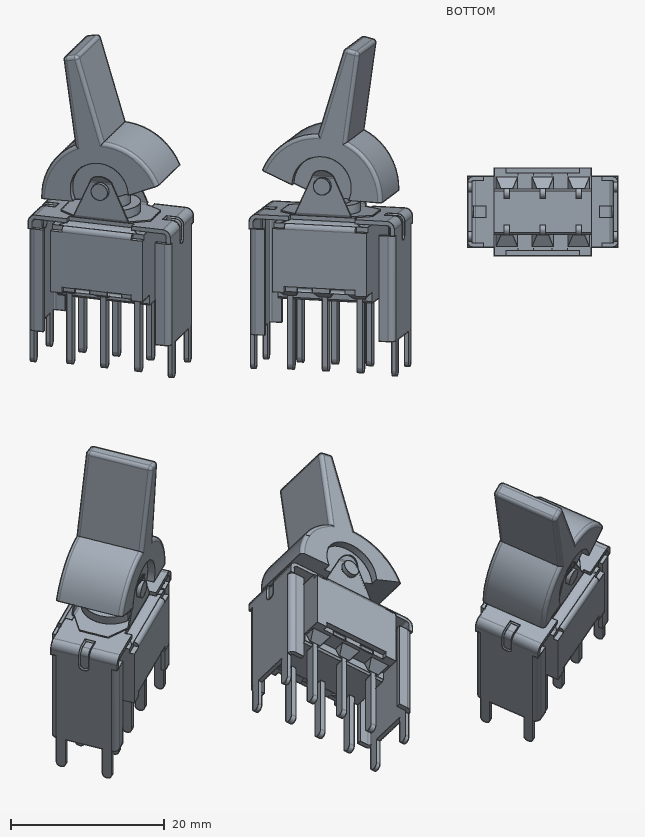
import cadquery as cq
import math

body_half_x = 6.3
body_half_y = 5.7
body_top = 19.85
body_bottom = 10.8
shoulder_half_y = 5.0
shoulder_z = 19.2
panel_half_x = 4.75
panel_bottom = 11.6
groove_x = 2.2
groove_z = 11.1
groove_length = 2.05
groove_radius = 0.3

base_half_y = 2.95
base_bottom = 9.4
base_chamfer = 0.25
pin_pitch = 4.67
pin_row_y = 2.4
pin_size_x = 0.75
pin_size_y = 1.3
wedge_height = 0.9
wedge_top_size = (2.75, 9.0)
wedge_bottom_size = (1.55, 6.05)

bracket_half_x = 9.8
bracket_half_y = 4.65
bracket_top = 20.73
sheet = 0.55
bend_radius = 1.05
leg_bottom = 4.75
flange_top = 18.8
flange_inner_x = 7.7
flange_radius = 0.82
prong_outer_y = 3.85
prong_width = 1.3
bridge_half_x = 4.45
bridge_half_y = 3.68
bridge_base_half_x = 5.45
rib_width = 1.45
rib_end_radius = 0.7
rib_chamfer = 0.195
rib_depth = 0.2
rib_bottom = 17.45
rib_inner_x = 7.4

plate_half_x = 6.2
plate_end_half_y = 2.0
ear_half_x = 3.7
ear_outer_y = 4.0
ear_thickness = 0.17
ear_base_radius = 0.35
ear_tip_radius = 1.6
ear_tip_centre_z = 25.4
ear_bend_z = 26.05
ear_bend_radius = 0.5
ear_flare_y = 4.6

collar_diameter = 7.8
collar_flats = 6.45
collar_top = 22.1
neck_diameter = 5.2

pivot_z = 24.9
pivot_diameter = 2.25
pivot_half_length = 4.6
rocker_tilt = 12.4
rocker_half_y = 4.65
rocker_radius = 8.4
rocker_centre_drop = 1.55
rocker_vee_drop = 1.55
paddle_tip = 18.7
paddle_tip_half = 1.05
paddle_root_half = 2.0
rocker_fillet = 0.5
recess_radius = 4.0
recess_floor_y = 3.65


def block(x0, x1, y0, y1, z0, z1):
    """Box between two opposite corners."""
    return cq.Workplane("XY").box(x1 - x0, y1 - y0, z1 - z0, centered=False).translate((x0, y0, z0))


def centred_block(half_x, half_y, z0, z1):
    """Box centred on the Z axis."""
    return block(-half_x, half_x, -half_y, half_y, z0, z1)


def extrude_along_x(profile, half_length):
    """Extrude a YZ outline equally to both sides of its plane."""
    return profile.extrude(half_length, both=True)


def round_ended_blade(x, size_x, y, size_y, top):
    """Flat blade standing on Z = 0 with a fully rounded lower end."""
    radius = size_y / 2
    return (
        cq.Workplane("YZ", origin=(x, 0, 0))
        .moveTo(y - radius, top)
        .lineTo(y - radius, radius)
        .threePointArc((y, 0), (y + radius, radius))
        .lineTo(y + radius, top)
        .close()
        .extrude(size_x / 2, both=True)
    )


def make_housing():
    """Stepped block with a rolled panel on each long side and two round grooves under each panel."""
    housing = centred_block(body_half_x, body_half_y, body_bottom, shoulder_z)
    housing = housing.cut(centred_block(panel_half_x, body_half_y, body_bottom, shoulder_z))
    housing = housing.union(centred_block(body_half_x, shoulder_half_y, body_bottom, body_top))
    roll = body_top - shoulder_z
    panels = centred_block(panel_half_x, body_half_y, panel_bottom, body_top)
    housing = housing.union(panels.edges("|X and >Z").fillet(roll))
    for x in (-groove_x, groove_x):
        for y in (-shoulder_half_y, shoulder_half_y):
            groove = cq.Workplane("YZ", origin=(x, y, groove_z)).circle(groove_radius)
            housing = housing.cut(extrude_along_x(groove, groove_length / 2))
    return housing


def make_bridge():
    """Block under the bracket top with sloping ends and rounded long sides meeting the panels."""
    bridge_top = bracket_top - sheet
    run = shoulder_half_y - bridge_half_y
    drop = bridge_top - body_top
    side_radius = (run**2 + drop**2) / (2 * drop)
    section = (
        cq.Workplane("YZ")
        .moveTo(-shoulder_half_y, body_top)
        .radiusArc((-bridge_half_y, bridge_top), side_radius)
        .lineTo(bridge_half_y, bridge_top)
        .radiusArc((shoulder_half_y, body_top), side_radius)
        .close()
    )
    ends = (
        cq.Workplane("XZ")
        .polyline([
            (-bridge_base_half_x, body_top),
            (bridge_base_half_x, body_top),
            (bridge_half_x, bridge_top),
            (-bridge_half_x, bridge_top),
        ])
        .close()
        .extrude(shoulder_half_y, both=True)
    )
    return extrude_along_x(section, bridge_base_half_x).intersect(ends)


def make_terminals():
    """Terminal base with a tapered wedge over each pair of round-ended pins."""
    terminals = centred_block(body_half_x, base_half_y, base_bottom, body_bottom)
    terminals = terminals.edges("|X and <Z").chamfer(base_chamfer)
    for x in (-pin_pitch, 0, pin_pitch):
        wedge = (
            cq.Workplane("XY", origin=(x, 0, body_bottom))
            .rect(*wedge_top_size)
            .workplane(offset=-wedge_height)
            .rect(*wedge_bottom_size)
            .loft()
        )
        terminals = terminals.union(wedge)
        for y in (-pin_row_y, pin_row_y):
            terminals = terminals.union(round_ended_blade(x, pin_size_x, y, pin_size_y, body_bottom))
    return terminals


def bent_block(inset, half_y, bottom):
    """Solid block whose two top edges follow the bracket bend, inset from its outer skin."""
    shape = centred_block(bracket_half_x - inset, half_y, bottom, bracket_top - inset)
    return shape.edges("|Y and >Z").fillet(bend_radius - inset)


def bent_strip(outer_inset, inner_inset, half_y, bottom):
    """Strip of sheet running up one leg, over the top and down the other leg."""
    return bent_block(outer_inset, half_y, bottom).cut(bent_block(inner_inset, half_y, bottom))


def make_rib_strip(outer_inset, inner_inset):
    """Round-ended strips that wrap around both bends of the bracket."""
    strip = bent_strip(outer_inset, inner_inset, rib_width / 2, rib_bottom)
    strip = strip.cut(centred_block(rib_inner_x, rib_width, 0, bracket_top))
    return strip.edges("|X and <Z").fillet(rib_end_radius)


def make_rib_groove():
    """Outer side of the ribs: strips of sheet depth with their floor edges bevelled."""
    strip = make_rib_strip(0, rib_depth)

    def is_floor_edge(edge):
        return all(
            abs(point.X) < bracket_half_x - rib_chamfer and point.Z < bracket_top - rib_chamfer
            for point in edge.Vertices()
        )

    floor_edges = [edge for edge in strip.edges().vals() if is_floor_edge(edge)]
    return strip.newObject(floor_edges).chamfer(rib_chamfer)


def make_leg():
    """Right-hand leg: channel with inward flanges and two prongs."""
    leg = block(flange_inner_x, bracket_half_x, -bracket_half_y, bracket_half_y, leg_bottom, flange_top)
    leg = leg.edges("|Z and >X").fillet(flange_radius)
    hollow = block(
        flange_inner_x, bracket_half_x - sheet,
        sheet - bracket_half_y, bracket_half_y - sheet,
        leg_bottom, flange_top,
    )
    leg = leg.cut(hollow.edges("|Z and >X").fillet(flange_radius - sheet))
    prong_y = prong_outer_y - prong_width / 2
    for y in (-prong_y, prong_y):
        leg = leg.union(round_ended_blade(bracket_half_x - sheet / 2, sheet, y, prong_width, flange_top))
    return leg


def make_bracket():
    """Bent strap with two channel legs, a notched top and a stiffening rib in each bend."""
    bracket = bent_strip(0, sheet, bracket_half_y, flange_top)
    for side in (-1, 1):
        edge_y = side * (bridge_half_y + bracket_half_y) / 2
        notch = cq.Workplane("XY").box(2 * bridge_half_x, bracket_half_y - bridge_half_y, 2 * sheet)
        bracket = bracket.cut(notch.translate((0, edge_y, bracket_top - sheet)))
    leg = make_leg()
    bracket = bracket.union(leg).union(leg.mirror("YZ"))
    bracket = bracket.union(make_rib_strip(sheet, sheet + rib_depth))
    return bracket.cut(make_rib_groove())


def make_ear():
    """Front ear: a tapered sheet tab with a round tip flared outwards."""
    ear_base_z = bracket_top + ear_base_radius
    centre_rise = ear_tip_centre_z - ear_base_z
    side_lean = (
        math.atan2(ear_half_x, centre_rise)
        - math.asin(ear_tip_radius / math.hypot(ear_half_x, centre_rise))
    )
    tangent_x = ear_tip_radius * math.cos(side_lean)
    tangent_z = ear_tip_centre_z + ear_tip_radius * math.sin(side_lean)
    tip_z = ear_tip_centre_z + ear_tip_radius
    outline = (
        cq.Workplane("XZ")
        .moveTo(-ear_half_x, bracket_top)
        .lineTo(ear_half_x, bracket_top)
        .lineTo(ear_half_x, ear_base_z)
        .lineTo(tangent_x, tangent_z)
        .threePointArc((0, tip_z), (-tangent_x, tangent_z))
        .lineTo(-ear_half_x, ear_base_z)
        .close()
        .extrude(2 * ear_outer_y)
    )
    inner_y = ear_outer_y - ear_thickness
    foot_y = ear_outer_y - ear_base_radius
    section = (
        cq.Workplane("YZ")
        .moveTo(-foot_y, bracket_top)
        .radiusArc((-ear_outer_y, ear_base_z), ear_base_radius)
        .lineTo(-ear_outer_y, ear_bend_z)
        .lineTo(-ear_flare_y, tip_z)
        .lineTo(ear_thickness - ear_flare_y, tip_z)
        .lineTo(-inner_y, ear_bend_z)
        .lineTo(-inner_y, ear_base_z)
        .radiusArc((-foot_y, bracket_top + ear_thickness), ear_thickness - ear_base_radius)
        .close()
    )
    sheet_strip = extrude_along_x(section, ear_half_x)
    bend_zone = cq.selectors.BoxSelector(
        (-ear_half_x, -ear_flare_y, ear_bend_z - ear_thickness),
        (ear_half_x, 0, ear_bend_z + ear_thickness),
    )
    sheet_strip = sheet_strip.edges("|X").edges(bend_zone).fillet(ear_bend_radius)
    return outline.intersect(sheet_strip)


def make_ear_plate():
    """Thin plate with tapered ends that carries the two ears and the pivot pin."""
    corner = [(plate_half_x, plate_end_half_y), (ear_half_x, ear_outer_y - ear_base_radius)]
    right = [(x, -y) for x, y in reversed(corner)] + corner
    left = [(-x, -y) for x, y in right]
    plate = (
        cq.Workplane("XY", origin=(0, 0, bracket_top))
        .polyline(right + left)
        .close()
        .extrude(ear_thickness)
    )
    ear = make_ear()
    pin = (
        cq.Workplane("XZ", origin=(0, 0, pivot_z))
        .circle(pivot_diameter / 2)
        .extrude(pivot_half_length, both=True)
    )
    return plate.union(ear).union(ear.mirror("XZ")).union(pin)


def make_bushing():
    """Collar with two flats and a round neck that reaches into the rocker."""
    collar = cq.Workplane("XY", origin=(0, 0, bracket_top)).circle(collar_diameter / 2)
    collar = collar.extrude(collar_top - bracket_top)
    collar = collar.intersect(centred_block(collar_diameter, collar_flats / 2, 0, pivot_z))
    neck = cq.Workplane("XY", origin=(0, 0, bracket_top)).circle(neck_diameter / 2)
    return collar.union(neck.extrude(pivot_z - bracket_top))


def make_rocker():
    """Round-backed rocker with a tapered paddle, drawn upright about its pivot and then tilted."""
    end_x = math.sqrt(rocker_radius**2 - rocker_centre_drop**2)
    root_z = math.sqrt(rocker_radius**2 - paddle_root_half**2) - rocker_centre_drop
    mid_angle = (math.atan2(rocker_centre_drop, end_x) + math.acos(paddle_root_half / rocker_radius)) / 2
    mid_x = rocker_radius * math.cos(mid_angle)
    mid_z = rocker_radius * math.sin(mid_angle) - rocker_centre_drop
    rocker = (
        cq.Workplane("XZ")
        .moveTo(0, -rocker_vee_drop)
        .lineTo(end_x, 0)
        .threePointArc((mid_x, mid_z), (paddle_root_half, root_z))
        .lineTo(paddle_tip_half, paddle_tip)
        .lineTo(-paddle_tip_half, paddle_tip)
        .lineTo(-paddle_root_half, root_z)
        .threePointArc((-mid_x, mid_z), (-end_x, 0))
        .close()
        .extrude(rocker_half_y, both=True)
    )
    tip_edges = rocker.edges("|Y and >Z")
    above_pivot = cq.selectors.BoxSelector(
        (-rocker_radius, -2 * rocker_half_y, 0),
        (rocker_radius, 2 * rocker_half_y, 2 * paddle_tip),
    )
    side_edges = rocker.faces("|Y").edges(above_pivot)
    rocker = rocker.newObject(tip_edges.vals() + side_edges.vals()).fillet(rocker_fillet)
    for side in (-1, 1):
        recess = cq.Workplane("XZ").circle(recess_radius).extrude(rocker_half_y, both=True)
        rocker = rocker.cut(recess.translate((0, side * (recess_floor_y + rocker_half_y), 0)))
    return rocker.rotate((0, 0, 0), (0, 1, 0), -rocker_tilt).translate((0, 0, pivot_z))


result = make_housing()
for component in (
    make_bridge(),
    make_terminals(),
    make_bracket(),
    make_ear_plate(),
    make_bushing(),
    make_rocker(),
):
    result = result.union(component)